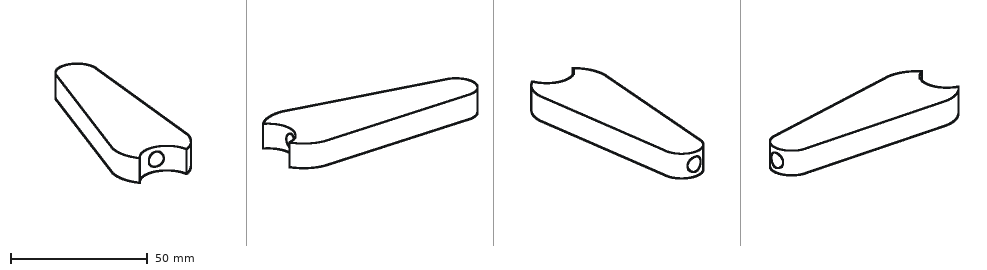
import cadquery as cq
import math

length = 84.7
width = 30.0
thickness = 10.0

small_radius = 8.0
large_radius = width / 2
centre_distance = 65.0
notch_radius = 10.0
hole_diameter = 6.0

tip_x = length - small_radius
tip_y = math.sqrt(large_radius**2 - (tip_x - centre_distance) ** 2)
notch_x = tip_x + math.sqrt(notch_radius**2 - tip_y**2)

tip_angle = math.atan2(tip_y, tip_x - centre_distance)
middle_angle = (math.pi / 2 + tip_angle) / 2
middle_x = centre_distance + large_radius * math.cos(middle_angle)
middle_y = large_radius * math.sin(middle_angle)

body = (
    cq.Workplane("XY")
    .moveTo(0, -small_radius)
    .lineTo(centre_distance, -large_radius)
    .threePointArc((middle_x, -middle_y), (tip_x, -tip_y))
    .threePointArc((notch_x - notch_radius, 0), (tip_x, tip_y))
    .threePointArc((middle_x, middle_y), (centre_distance, large_radius))
    .lineTo(0, small_radius)
    .threePointArc((-small_radius, 0), (0, -small_radius))
    .close()
    .extrude(thickness)
)

hole = (
    cq.Workplane("YZ", origin=(-small_radius, 0, thickness / 2))
    .circle(hole_diameter / 2)
    .extrude(length)
)

result = body.cut(hole)